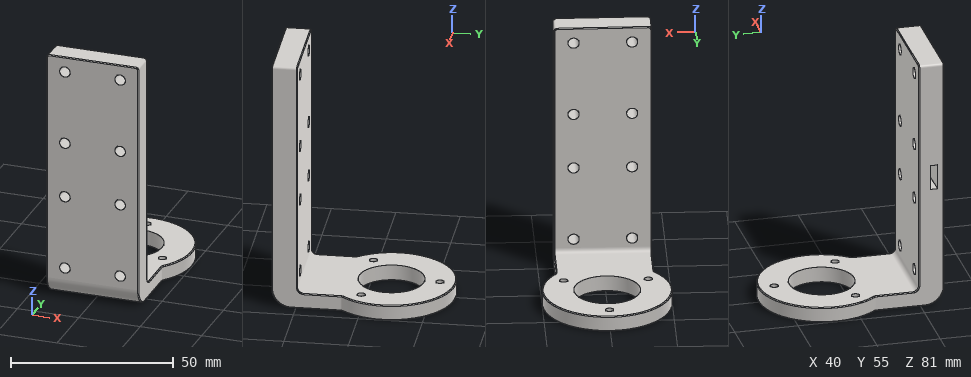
import cadquery as cq


ring_radius = 20.0
foot_thickness = 5.0
bore_diameter = 20.5
ring_hole_count = 3
ring_hole_diameter = 2.5
ring_hole_circle_radius = 15.0
first_ring_hole_angle = 90.0

post_width = 30.0
post_thickness = 8.0
post_height = 81.0
post_front_y = -35.0
post_back_y = post_front_y + post_thickness

outer_bend_radius = 6.0
inner_bend_radius = 2.0
neck_fillet_radius = 1.0
top_corner_radius = 1.0
edge_chamfer = 0.3

post_hole_diameter = 3.4
post_hole_column_spacing = 18.0
post_hole_center_z = 43.0
post_hole_inner_row_offset = 9.0
post_hole_outer_row_offset = 33.0

slot_front_wall = 2.1
slot_width = 2.2
slot_height = 8.0
slot_depth = post_width / 2


def make_bracket():
    """L-shaped strip with a rounded bend; its foot ends on the ring axis."""
    bracket = (
        cq.Workplane("YZ")
        .moveTo(0, 0)
        .lineTo(post_front_y, 0)
        .lineTo(post_front_y, post_height)
        .lineTo(post_back_y, post_height)
        .lineTo(post_back_y, foot_thickness)
        .lineTo(0, foot_thickness)
        .close()
        .extrude(post_width / 2, both=True)
    )
    outer_corner = cq.selectors.NearestToPointSelector((0, post_front_y, 0))
    inner_corner = cq.selectors.NearestToPointSelector((0, post_back_y, foot_thickness))
    bracket = bracket.edges("|X").edges(outer_corner).fillet(outer_bend_radius)
    return bracket.edges("|X").edges(inner_corner).fillet(inner_bend_radius)


def make_body():
    """Bracket and ring joined, with every outer edge rounded or chamfered."""
    ring = cq.Workplane("XY").circle(ring_radius).extrude(foot_thickness)
    body = make_bracket().union(ring)

    neck_y = -(ring_radius**2 - (post_width / 2) ** 2) ** 0.5
    for neck_x in (-post_width / 2, post_width / 2):
        neck = cq.selectors.NearestToPointSelector((neck_x, neck_y, foot_thickness / 2))
        body = body.edges("|Z").edges(neck).fillet(neck_fillet_radius)

    body = body.faces(">Z").edges("|Y").fillet(top_corner_radius)

    return body.faces(">Z").edges("|X").chamfer(edge_chamfer)


def make_ring_holes():
    bore = cq.Workplane("XY").circle(bore_diameter / 2).extrude(foot_thickness)
    screw_holes = (
        cq.Workplane("XY")
        .polarArray(ring_hole_circle_radius, first_ring_hole_angle, 360, ring_hole_count)
        .circle(ring_hole_diameter / 2)
        .extrude(foot_thickness)
    )
    return bore.union(screw_holes)


def make_post_holes():
    column_x = post_hole_column_spacing / 2
    centers = []
    for row_offset in (post_hole_inner_row_offset, post_hole_outer_row_offset):
        for x in (-column_x, column_x):
            centers.append((x, post_hole_center_z - row_offset))
            centers.append((x, post_hole_center_z + row_offset))
    return (
        cq.Workplane("XZ", origin=(0, post_front_y, 0))
        .pushPoints(centers)
        .circle(post_hole_diameter / 2)
        .extrude(-post_thickness)
    )


def make_side_slot():
    slot = cq.Workplane("XY").box(slot_depth, slot_width, slot_height, centered=(False, False, True))
    return slot.translate((-post_width / 2, post_front_y + slot_front_wall, post_hole_center_z))


result = make_body().cut(make_ring_holes()).cut(make_post_holes()).cut(make_side_slot())